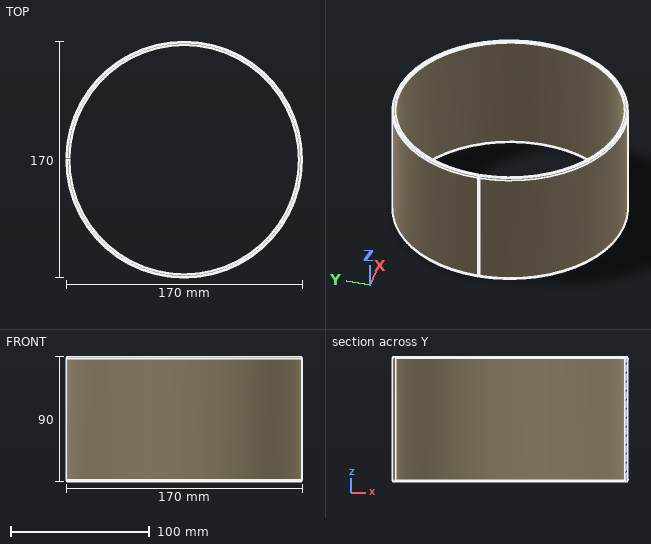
import cadquery as cq

outer_diameter = 170.0
wall = 2.5
height = 90.0
slit_width = 1.4
outer_chamfer_height = 1.5
outer_chamfer_depth = 0.7
inner_chamfer_height = 1.0
inner_chamfer_depth = 0.3

outer_radius = outer_diameter / 2
inner_radius = outer_radius - wall


def bushing_wall():
    """Tube with its inner and outer rims chamfered, made by revolving the wall section."""
    outer_rim_radius = outer_radius - outer_chamfer_depth
    inner_rim_radius = inner_radius + inner_chamfer_depth
    section = [
        (inner_radius, inner_chamfer_height),
        (inner_rim_radius, 0),
        (outer_rim_radius, 0),
        (outer_radius, outer_chamfer_height),
        (outer_radius, height - outer_chamfer_height),
        (outer_rim_radius, height),
        (inner_rim_radius, height),
        (inner_radius, height - inner_chamfer_height),
    ]
    return cq.Workplane("XZ").polyline(section).close().revolve(360, (0, 0), (0, 1))


def slit():
    """Full-height cut through the wall on the -X side, with one face on the XZ plane."""
    cutter = cq.Workplane("XY").box(outer_radius, slit_width, height, centered=False)
    return cutter.translate((-outer_radius, 0, 0))


result = bushing_wall().cut(slit())